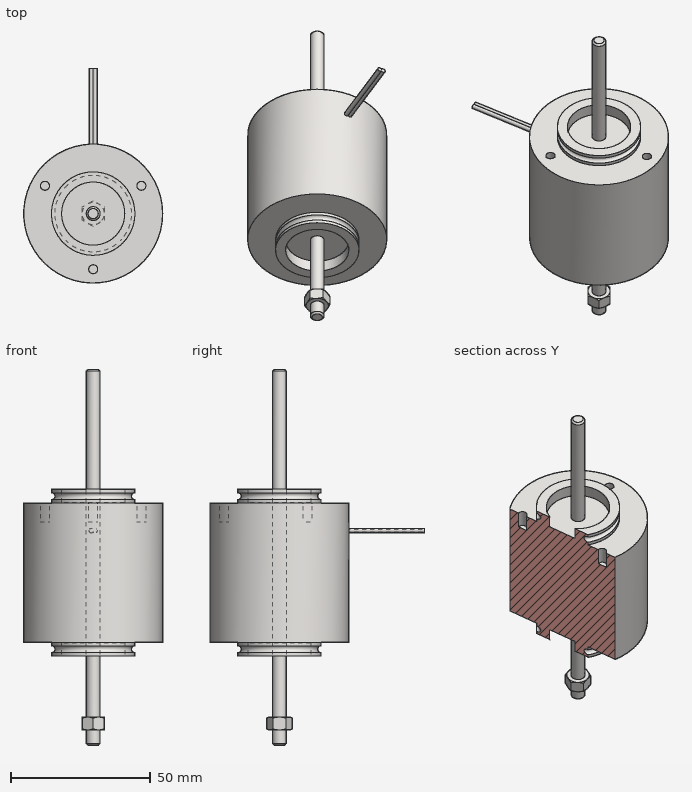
import cadquery as cq
import math

housing_diameter = 50.0
housing_height = 50.0
collar_diameter = 30.0
collar_height = 5.0
collar_groove_radius = 1.2
recess_diameter = 22.7
recess_depth = 4.7

mounting_hole_count = 3
mounting_hole_diameter = 3.2
mounting_hole_depth = 6.8
mounting_circle_radius = 20.0

wire_count = 2
wire_diameter = 1.6
wire_spacing = 1.4
wire_end_y = 52.1
wire_height = 15.1
wire_embedding = 2.7

shaft_diameter = 5.0
shaft_top_z = 73.0
shaft_length = 135.0
shaft_chamfer = 0.7
nut_across_flats = 8.0
nut_height = 4.6
nut_bottom_to_shaft_end = 5.5
nut_chamfer_height = 0.4
nut_chamfer_angle = 30.0

housing_radius = housing_diameter / 2
collar_face_z = housing_height / 2 + collar_height
shaft_bottom_z = shaft_top_z - shaft_length
nut_bottom_z = shaft_bottom_z + nut_bottom_to_shaft_end


def z_cylinder(diameter, height, bottom_z):
    """Cylinder on the Z axis, standing on bottom_z."""
    return cq.Workplane("XY").workplane(offset=bottom_z).circle(diameter / 2).extrude(height)


def make_collar():
    """Top collar: a ring with a half-round groove and an open recess."""
    collar = z_cylinder(collar_diameter, collar_height, housing_height / 2)
    groove_z = housing_height / 2 + collar_height / 2
    groove = cq.Workplane("XY").add(
        cq.Solid.makeTorus(collar_diameter / 2, collar_groove_radius, cq.Vector(0, 0, groove_z))
    )
    return collar.cut(groove)


def make_recess():
    """Round recess sunk into the top collar face."""
    return z_cylinder(recess_diameter, recess_depth, collar_face_z - recess_depth)


def make_mounting_holes():
    """Blind holes, evenly spaced around the top face."""
    return (
        cq.Workplane("XY")
        .workplane(offset=housing_height / 2)
        .polarArray(mounting_circle_radius, -90, 360, mounting_hole_count)
        .circle(mounting_hole_diameter / 2)
        .extrude(-mounting_hole_depth)
    )


def make_wire(x):
    """Straight round wire along Y, starting inside the housing wall."""
    start_y = housing_radius - wire_embedding
    return cq.Workplane("XY").add(
        cq.Solid.makeCylinder(
            wire_diameter / 2,
            wire_end_y - start_y,
            cq.Vector(x, start_y, wire_height),
            cq.Vector(0, 1, 0),
        )
    )


def make_housing():
    housing = z_cylinder(housing_diameter, housing_height, -housing_height / 2)

    collar = make_collar()
    housing = housing.union(collar).union(collar.mirror("XY"))

    recess = make_recess()
    housing = housing.cut(recess).cut(recess.mirror("XY"))

    housing = housing.cut(make_mounting_holes())

    for index in range(wire_count):
        x = (index - (wire_count - 1) / 2) * wire_spacing
        housing = housing.union(make_wire(x))

    return housing.cut(z_cylinder(shaft_diameter, shaft_length, shaft_bottom_z))


def make_nut():
    """Hexagon with corners towards +Y and -Y, its corners bevelled at both ends."""
    hexagon = (
        cq.Workplane("XY")
        .workplane(offset=nut_bottom_z)
        .polygon(6, nut_across_flats, circumscribed=True)
        .extrude(nut_height)
    )
    end_radius = nut_across_flats / 2
    middle_radius = end_radius + nut_chamfer_height / math.tan(math.radians(nut_chamfer_angle))
    bevel_envelope = (
        cq.Workplane("XZ", origin=(0, 0, nut_bottom_z))
        .moveTo(0, 0)
        .lineTo(end_radius, 0)
        .lineTo(middle_radius, nut_chamfer_height)
        .lineTo(middle_radius, nut_height - nut_chamfer_height)
        .lineTo(end_radius, nut_height)
        .lineTo(0, nut_height)
        .close()
        .revolve(360, (0, 0), (0, 1))
    )
    return hexagon.intersect(bevel_envelope)


def make_shaft():
    """Rod chamfered at both ends, with the nut fixed on it."""
    rod = z_cylinder(shaft_diameter, shaft_length, shaft_bottom_z)
    rod = rod.faces("|Z").edges().chamfer(shaft_chamfer)
    return rod.union(make_nut())


housing = make_housing()
shaft = make_shaft()

result = cq.Compound.makeCompound([housing.val(), shaft.val()])